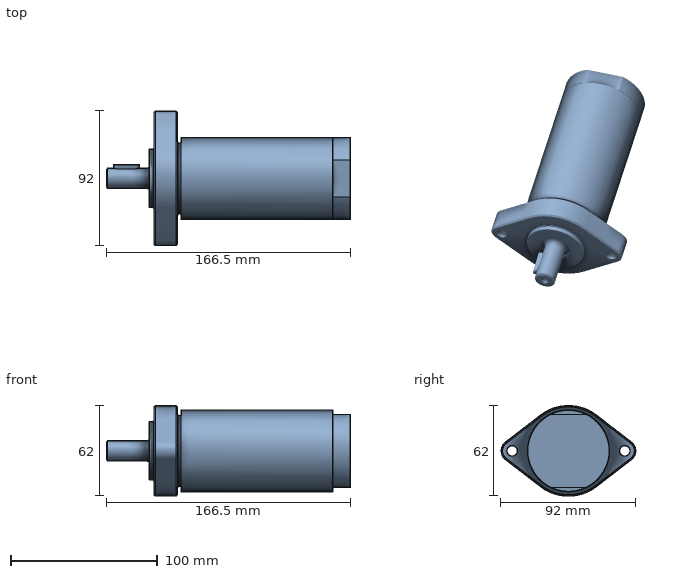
import cadquery as cq
import math

length = 166.5
shaft_fillet_start = 27.1
pilot_front = 29.1
flange_front = 32.3
flange_back = 48.5
body_front = 51.0
cap_front = 154.7

shaft_dia = 14.0
shaft_tip_dia = 11.5
shaft_chamfer_length = 0.8
shaft_fillet = 4.0
shaft_collar_dia = 18.6
shaft_recess_dia = 19.8
shaft_recess_depth = 3.3
shaft_mouth_dia = 21.0
shaft_mouth_depth = 0.5

center_hole_dia = 4.2
center_mouth_dia = 5.7
center_hole_depth = 8.3
drill_point_angle = 118.0

key_start = 4.8
key_length = 17.8
key_width = 5.0
key_top = 9.3

pilot_dia = 40.0
pilot_shoulder_dia = 41.0
pilot_shoulder_width = 0.3
pilot_chamfer = 0.3
flange_radius = 31.0
lobe_radius = 7.5
lobe_offset = 38.5
bolt_hole_dia = 7.0
flange_chamfer = 1.0

neck_dia = 48.5
neck_shoulder_dia = 50.0
neck_shoulder_width = 0.5
body_dia = 56.0
body_chamfer = 0.3
cap_flat_height = 25.0


def cylinder(start, end, diameter):
    """Cylinder on the motor axis between two X stations."""
    return cq.Workplane("YZ", origin=(start, 0, 0)).circle(diameter / 2).extrude(end - start)


def make_flange():
    """Two-lobed plate whose straight sides are tangent to the central disc and the lobes."""
    tangent_sin = (flange_radius - lobe_radius) / lobe_offset
    tangent_cos = math.sqrt(1 - tangent_sin**2)
    disc_y = flange_radius * tangent_sin
    disc_z = flange_radius * tangent_cos
    lobe_y = lobe_offset + lobe_radius * tangent_sin
    lobe_z = lobe_radius * tangent_cos
    lobe_tip = lobe_offset + lobe_radius
    plate = (
        cq.Workplane("YZ", origin=(flange_front, 0, 0))
        .moveTo(-disc_y, disc_z)
        .threePointArc((0, flange_radius), (disc_y, disc_z))
        .lineTo(lobe_y, lobe_z)
        .threePointArc((lobe_tip, 0), (lobe_y, -lobe_z))
        .lineTo(disc_y, -disc_z)
        .threePointArc((0, -flange_radius), (-disc_y, -disc_z))
        .lineTo(-lobe_y, -lobe_z)
        .threePointArc((-lobe_tip, 0), (-lobe_y, lobe_z))
        .close()
        .extrude(flange_back - flange_front)
        .faces("<X or >X")
        .chamfer(flange_chamfer)
    )
    holes = (
        cq.Workplane("YZ", origin=(flange_front, 0, 0))
        .pushPoints([(-lobe_offset, 0), (lobe_offset, 0)])
        .circle(bolt_hole_dia / 2)
        .extrude(flange_back - flange_front)
    )
    return plate.cut(holes)


def make_pilot():
    """Locating spigot with a small shoulder at the flange."""
    spigot = cylinder(pilot_front, flange_front, pilot_dia).faces("<X").chamfer(pilot_chamfer)
    shoulder = cylinder(flange_front - pilot_shoulder_width, flange_front, pilot_shoulder_dia)
    return spigot.union(shoulder)


def make_shaft():
    """Shaft flaring through a concave fillet into a collar inside the pilot recess."""
    shaft_radius = shaft_dia / 2
    collar_radius = shaft_collar_dia / 2
    fillet_center_radius = shaft_radius + shaft_fillet

    def point_on_fillet(radius):
        along = math.sqrt(shaft_fillet**2 - (fillet_center_radius - radius) ** 2)
        return (shaft_fillet_start + along, radius)

    return (
        cq.Workplane("XY")
        .moveTo(0, 0)
        .lineTo(0, shaft_tip_dia / 2)
        .lineTo(shaft_chamfer_length, shaft_radius)
        .lineTo(shaft_fillet_start, shaft_radius)
        .threePointArc(
            point_on_fillet((shaft_radius + collar_radius) / 2),
            point_on_fillet(collar_radius),
        )
        .lineTo(flange_back, collar_radius)
        .lineTo(flange_back, 0)
        .close()
        .revolve(360, (0, 0, 0), (1, 0, 0))
    )


def make_key():
    """Round-ended key standing out of the +Y side of the shaft."""
    return (
        cq.Workplane("XZ", origin=(key_start + key_length / 2, 0, 0))
        .slot2D(key_length, key_width)
        .extrude(-key_top)
    )


def make_center_hole():
    """Countersunk blind hole ending in a drill point."""
    hole_radius = center_hole_dia / 2
    mouth_radius = center_mouth_dia / 2
    point_depth = hole_radius / math.tan(math.radians(drill_point_angle / 2))
    return (
        cq.Workplane("XY")
        .polyline(
            [
                (0, 0),
                (0, mouth_radius),
                (mouth_radius - hole_radius, hole_radius),
                (center_hole_depth, hole_radius),
                (center_hole_depth + point_depth, 0),
            ]
        )
        .close()
        .revolve(360, (0, 0, 0), (1, 0, 0))
    )


def make_body():
    """Stepped neck and cylindrical housing."""
    neck = cylinder(flange_back, body_front, neck_dia)
    neck_shoulder = cylinder(flange_back, flange_back + neck_shoulder_width, neck_shoulder_dia)
    housing = cylinder(body_front, cap_front, body_dia).faces(">X").chamfer(body_chamfer)
    return neck.union(neck_shoulder).union(housing)


def make_cap():
    """End cap of the housing diameter with flats above and below."""
    radius = body_dia / 2
    flat_half_width = math.sqrt(radius**2 - cap_flat_height**2)
    return (
        cq.Workplane("YZ", origin=(cap_front, 0, 0))
        .moveTo(-flat_half_width, cap_flat_height)
        .lineTo(flat_half_width, cap_flat_height)
        .threePointArc((radius, 0), (flat_half_width, -cap_flat_height))
        .lineTo(-flat_half_width, -cap_flat_height)
        .threePointArc((-radius, 0), (-flat_half_width, cap_flat_height))
        .close()
        .extrude(length - cap_front)
    )


def make_shaft_recess():
    """Stepped round recess in the pilot face, around the shaft."""
    recess = cylinder(pilot_front, pilot_front + shaft_recess_depth, shaft_recess_dia)
    mouth = cylinder(pilot_front, pilot_front + shaft_mouth_depth, shaft_mouth_dia)
    return recess.union(mouth)


motor_case = make_flange().union(make_pilot()).union(make_body()).union(make_cap()).cut(make_shaft_recess())
result = motor_case.union(make_shaft()).union(make_key()).cut(make_center_hole())